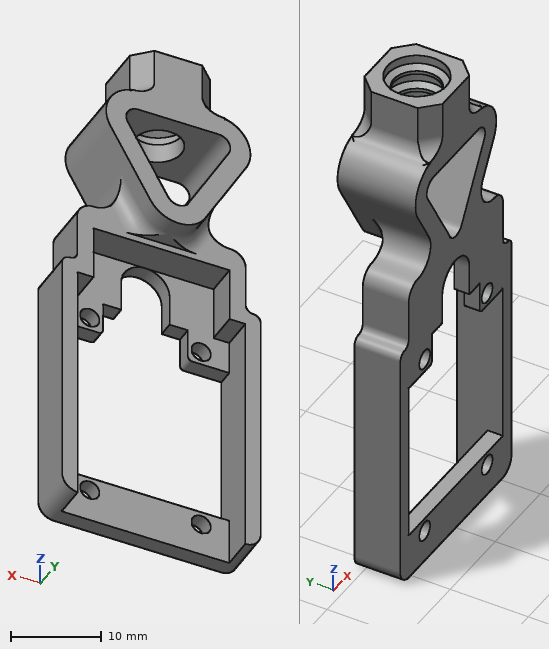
import cadquery as cq
import math

height = 61.35
frame_width = 24.7
depth = 10.0
plate_thickness = 5.9
front = -depth / 2
plate_back = front + plate_thickness

corner_half_spacing = 5.0
corner_z = 51.0
head_radius = 4.0
window_radius = 1.5
apex_z = corner_z - corner_half_spacing * math.sqrt(3)
head_bottom = apex_z - head_radius
root_fillet = 1.85

shoulder_half_width = 10.5
shoulder_z = 40.5
shoulder_radius = 1.95
waist_radius = 2.8
step_z = 32.4
bottom_radius = 1.95

neck_chamfer = 2.0
neck_fillet = 1.95
bore_radius = 2.95
groove_radius = 3.75
groove_pitch = 2.45
groove_count = 3
groove_land = 1.1

opening_half_width = 10.45
opening_bottom = 5.9
opening_top = 26.5
notch_half_width = 5.3
notch_top = 30.7
notch_corner = 0.55
slot_radius = 3.0
slot_top = 37.5

web_thickness = 1.95
recess_upper_half_width = 8.45

hole_diameter = 2.4
hole_x = 6.95
hole_rows = (4.2, 28.2)


def extrude_y(sketch, y_start, y_end):
    """Extrude a sketch drawn on XZ at Y = 0 between two Y positions."""
    return sketch.extrude(y_start - y_end).translate((0, y_start, 0))


def xz():
    return cq.Workplane("XZ")


def rounded_triangle(radius):
    """Outline at a constant distance around the triangle of corner centres."""
    dx = radius * math.cos(math.radians(30))
    dz = radius * math.sin(math.radians(30))
    c = corner_half_spacing
    return (
        xz().moveTo(-c, corner_z + radius)
        .lineTo(c, corner_z + radius)
        .threePointArc((c + dx, corner_z + dz), (c + dx, corner_z - dz))
        .lineTo(dx, apex_z - dz)
        .threePointArc((0, apex_z - radius), (-dx, apex_z - dz))
        .lineTo(-c - dx, corner_z - dz)
        .threePointArc((-c - dx, corner_z + dz), (-c, corner_z + radius))
        .close()
    )


def plate_half():
    """Right half of the plate, from the bottom edge to inside the head."""
    cos30 = math.cos(math.radians(30))
    half = frame_width / 2
    step_radius = (half - shoulder_half_width) / 2
    step_mid = half - step_radius
    waist_z = shoulder_z + waist_radius
    tangent_z = waist_z + waist_radius / 2
    tangent_x = head_radius / cos30 + (tangent_z - apex_z) / math.sqrt(3)
    waist_x = tangent_x + waist_radius * cos30
    return (
        xz().moveTo(0, 0)
        .lineTo(half - bottom_radius, 0)
        .radiusArc((half, bottom_radius), -bottom_radius)
        .lineTo(half, step_z - step_radius)
        .radiusArc((step_mid, step_z), -step_radius)
        .radiusArc((shoulder_half_width, step_z + step_radius), step_radius)
        .lineTo(shoulder_half_width, shoulder_z - shoulder_radius)
        .radiusArc((shoulder_half_width - shoulder_radius, shoulder_z), -shoulder_radius)
        .lineTo(waist_x, shoulder_z)
        .radiusArc((tangent_x, tangent_z), waist_radius)
        .lineTo(0, tangent_z)
        .close()
    )


def plate(y_end):
    half = extrude_y(plate_half(), front, y_end)
    return half.union(half.mirror("YZ"))


def head():
    return extrude_y(rounded_triangle(head_radius), front, depth / 2)


def root_blend():
    """Concave blend around the head, kept within the plate and above the head's lowest point."""
    slab = xz().rect(3 * frame_width, 3 * height)
    slab = extrude_y(slab, front, plate_back)
    tolerance = 0.05
    near_head = cq.selectors.BoxSelector(
        (-frame_width, plate_back - tolerance, 0),
        (frame_width, plate_back + tolerance, height),
    )
    blend = slab.union(head()).edges(near_head).fillet(root_fillet)
    limit = cq.Workplane().box(frame_width, depth, height, centered=(True, True, False))
    return blend.intersect(plate(depth / 2)).intersect(limit.translate((0, 0, head_bottom)))


def flared_prism(half_width, blend_top, foot_x, foot_z):
    """Prism along Y whose vertical sides flare outward in an arc down to the foot."""
    half = (
        xz().moveTo(0, corner_z)
        .lineTo(foot_x, corner_z)
        .lineTo(foot_x, foot_z)
        .radiusArc((half_width, blend_top), neck_fillet)
        .lineTo(half_width, height)
        .lineTo(0, height)
        .close()
    )
    half = extrude_y(half, -depth, depth)
    return half.union(half.mirror("YZ"))


def neck():
    """Octagonal neck whose side and chamfer faces blend into the top of the head."""
    half_width = depth / 2
    reach = head_radius + neck_fillet
    arc_x = half_width + neck_fillet - corner_half_spacing
    rise = math.sqrt(reach**2 - arc_x**2)
    foot_x = corner_half_spacing + arc_x * head_radius / reach
    foot_z = corner_z + rise * head_radius / reach
    shape = flared_prism(half_width, corner_z + rise, foot_x, foot_z)

    head_top = corner_z + head_radius
    diagonal = (2 * half_width - neck_chamfer) / math.sqrt(2)
    chamfer_prism = flared_prism(diagonal, head_top + neck_fillet, diagonal + neck_fillet, head_top)
    for angle in (45, -45):
        shape = shape.intersect(chamfer_prism.rotate((0, 0, 0), (0, 0, 1), angle))
    return shape.intersect(cq.Workplane().box(frame_width, depth, 3 * height))


def bore():
    """Bore from the neck top into the triangular window, with repeated ring grooves."""
    flank = (groove_radius - bore_radius) / math.sqrt(3)
    cutter = cq.Workplane().circle(bore_radius).extrude(height - corner_z).translate((0, 0, corner_z))
    for index in range(groove_count):
        top = height - index * groove_pitch
        ring = (
            xz().moveTo(0, top + flank)
            .lineTo(bore_radius, top + flank)
            .lineTo(groove_radius, top)
            .lineTo(groove_radius, top - groove_land)
            .lineTo(bore_radius, top - groove_land - flank)
            .lineTo(0, top - groove_land - flank)
            .close()
            .revolve(360, (0, 0, 0), (0, 1, 0))
        )
        cutter = cutter.union(ring)
    return cutter


def opening():
    """Rectangular opening with a stepped notch and a round-ended slot above it."""
    half_notch = (
        xz().moveTo(0, opening_bottom)
        .lineTo(opening_half_width, opening_bottom)
        .lineTo(opening_half_width, opening_top)
        .lineTo(notch_half_width + notch_corner, opening_top)
        .radiusArc((notch_half_width, opening_top + notch_corner), notch_corner)
        .lineTo(notch_half_width, notch_top)
        .lineTo(slot_radius, notch_top)
        .lineTo(slot_radius, slot_top - slot_radius)
        .radiusArc((0, slot_top), -slot_radius)
        .close()
    )
    half = extrude_y(half_notch, front, depth / 2)
    return half.union(half.mirror("YZ"))


def back_recess():
    """Recess leaving a thin web at the front, narrower beside the slot than in the frame."""
    half = (
        xz().lineTo(opening_half_width, 0)
        .lineTo(opening_half_width, notch_top)
        .lineTo(recess_upper_half_width, notch_top)
        .lineTo(recess_upper_half_width, slot_top)
        .lineTo(0, slot_top)
        .close()
    )
    half = extrude_y(half, front + web_thickness, plate_back)
    return half.union(half.mirror("YZ"))


def screw_holes():
    centres = [(side * hole_x, z) for side in (-1, 1) for z in hole_rows]
    return extrude_y(xz().pushPoints(centres).circle(hole_diameter / 2), front, depth / 2)


result = plate(plate_back).union(root_blend()).union(head()).union(neck())
result = result.cut(extrude_y(rounded_triangle(window_radius), front, depth / 2))
result = result.cut(bore()).cut(opening()).cut(back_recess()).cut(screw_holes())